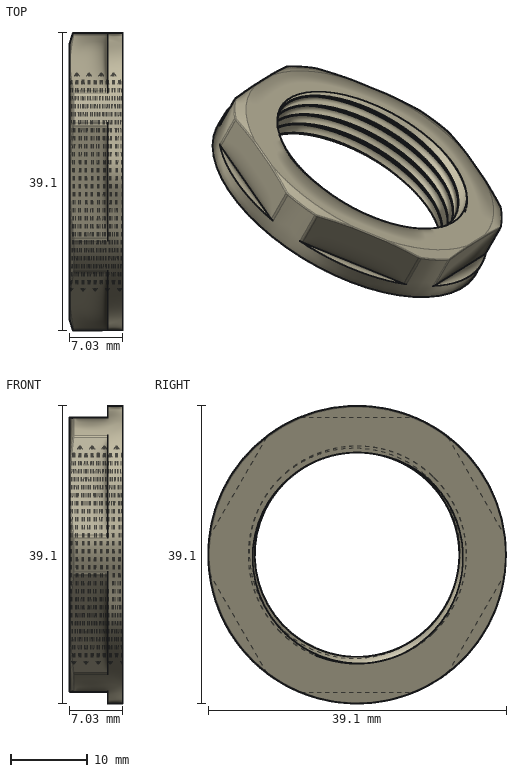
import cadquery as cq
import math

outer_diameter = 39.05
total_length = 7.03
flange_thickness = 2.0
across_flats = 36.0
corner_fillet = 0.98
face_chamfer_depth = 0.45
face_diameter = 36.07
front_edge_fillet = 0.15
rim_fillet = 0.1

bore_diameter = 26.8
thread_major_diameter = 28.58
thread_pitch = 1.6
root_width = 0.08
flank_angle = 72
thread_phase = 55
bore_seam_angle = 230
bore_overlap = 0.08

outer_radius = outer_diameter / 2
bore_radius = bore_diameter / 2
hexagon_length = total_length - flange_thickness


def make_flange():
    """Round collar with a small fillet on its outer back edge."""
    disc = cq.Workplane("YZ", origin=(hexagon_length, 0, 0)).circle(outer_radius).extrude(flange_thickness)
    return disc.faces(">X").edges().fillet(rim_fillet)


def make_hexagon():
    """Hexagon with rounded corners, flats facing +Z and -Z, and a conical front face edge."""
    across_corners = across_flats / math.cos(math.radians(30))
    prism = cq.Workplane("YZ").polygon(6, across_corners).extrude(hexagon_length)
    barrel = cq.Workplane("YZ").circle(outer_radius).extrude(hexagon_length)
    rounded = prism.intersect(barrel).edges("|X").fillet(corner_fillet)
    chamfer_envelope = (
        cq.Workplane("XY")
        .moveTo(0, 0)
        .lineTo(0, face_diameter / 2)
        .lineTo(face_chamfer_depth, outer_radius)
        .lineTo(hexagon_length, outer_radius)
        .lineTo(hexagon_length, 0)
        .close()
        .revolve(360, (0, 0, 0), (1, 0, 0))
    )
    chamfered = rounded.intersect(chamfer_envelope)
    front_zone = cq.selectors.BoxSelector(
        (-front_edge_fillet, -outer_diameter, -outer_diameter),
        (face_chamfer_depth + front_edge_fillet, outer_diameter, outer_diameter),
    )
    return chamfered.edges(front_zone).edges("not %CIRCLE").fillet(front_edge_fillet)


def make_thread_groove():
    """Right-handed helical cutter that runs one pitch past both faces."""
    major_radius = thread_major_diameter / 2
    inner_radius = bore_radius - bore_overlap
    root_half = root_width / 2
    mouth_half = root_half + (major_radius - inner_radius) * math.tan(math.radians(flank_angle / 2))
    length = total_length + 2 * thread_pitch
    profile = [
        (inner_radius, -mouth_half),
        (major_radius, -root_half),
        (major_radius, root_half),
        (inner_radius, mouth_half),
    ]
    rails = [cq.Wire.makeHelix(thread_pitch, length, radius).translate(cq.Vector(0, 0, shift))
             for radius, shift in profile]
    faces = []
    for index, rail in enumerate(rails):
        faces.append(cq.Face.makeRuledSurface(rails[index - 1], rail))
    for end in (0, 1):
        corners = [rail.positionAt(end) for rail in rails]
        faces.append(cq.Face.makeFromWires(cq.Wire.makePolygon(corners, close=True)))
    groove = cq.Workplane(cq.Solid.makeSolid(cq.Shell.makeShell(faces)))
    along_x = groove.rotate((0, 0, 0), (0, 1, 0), 90)
    shifted = along_x.translate((-thread_pitch, 0, 0))
    return shifted.rotate((0, 0, 0), (1, 0, 0), 180 + thread_phase)


def make_bore():
    """Plain bore, turned so that its seam stays clear of the ends of the thread."""
    cylinder = cq.Workplane("YZ").circle(bore_radius).extrude(total_length)
    return cylinder.rotate((0, 0, 0), (1, 0, 0), bore_seam_angle)


blank = make_flange().union(make_hexagon())
result = blank.cut(make_bore()).cut(make_thread_groove())